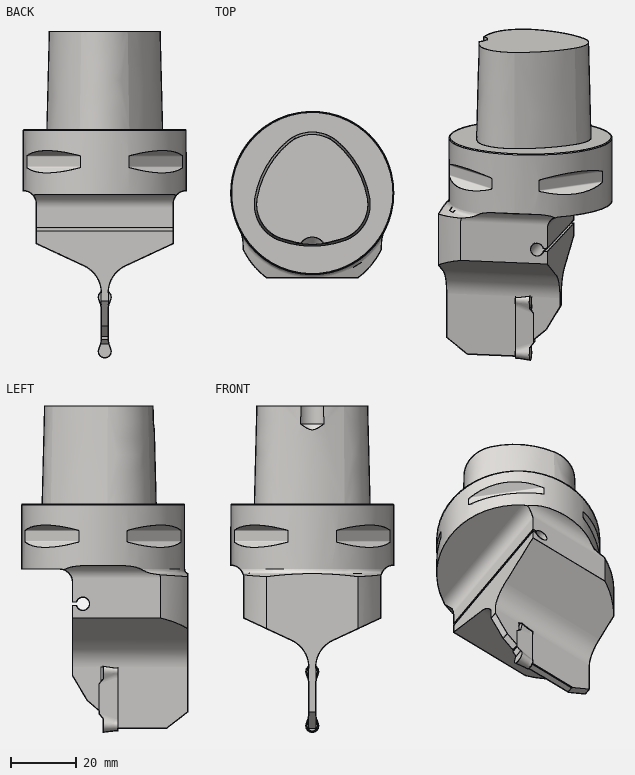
import cadquery as cq
import math


SWEEP = 120.0

SHANK_HEIGHT = 30.0
MEAN_RADIUS = 17.5
ECCENTRICITY = 1.2
LOBE_RADIUS = 11.8
SHANK_TAPER = math.degrees(math.atan(1 / 40))
LOBE_SPACING = 120
LOBE_DIRECTIONS = (90, 210, 330)

NOTCH_RADIUS = 4.2
NOTCH_Y = -17.7
NOTCH_FLOOR_Z = 24.5
NOTCH_CONE_HEIGHT = 3.4

FLANGE_RADIUS = 25.0
FLANGE_HEIGHT = 20.0
FLANGE_CHAMFER = 0.3
GROOVE_Z = -9.9
GROOVE_FLOOR_DISTANCE = 22.1
GROOVE_FLOOR_WIDTH = 3.5
GROOVE_WALL_ANGLE = 30.0
GROOVE_FILLET = 0.5
GROOVE_DIRECTIONS = (45, 135, 225, 315)

SHOULDER_FILLET = 1.4
SHOULDER_SLOPE = 15.0
SHOULDER_REACH = 32.0

BLOCK_HALF_WIDTH = 21.0
BLOCK_FRONT_Y = -26.0
BLOCK_BACK_Y = 9.4
BLOCK_ROUND_RADIUS = 23.5
BLOCK_ROUND_Y = -7.1
NECK_FILLET = 4.0
NECK_FILLET_Z = -22.8
RELIEF_HOLE_DIAMETER = 4.0
RELIEF_HOLE_Y = 6.2
RELIEF_HOLE_Z = -30.6
RELIEF_SLOT_WIDTH = 1.0

BLADE_HALF_THICKNESS = 1.1
BLADE_TOP_Z = -50.0
BLADE_ROOT_RADIUS = 9.0
BLADE_ROOT_SLOPE = 25.0
BLADE_BOTTOM_Z = -68.8
BLADE_BOTTOM_CHAMFER = 0.2
BLADE_BACK_START_Z = -52.6
BLADE_BACK_KNEE_Y = 4.9
BLADE_BACK_KNEE_Z = -60.2
BLADE_BACK_END_Z = -63.4
BLADE_FRONT_CHAMFER_Y = 6.6
BLADE_FRONT_CHAMFER_Z = 5.1
CHIP_GAP = 0.6

INSERT_TIP_Z = -70.0
INSERT_HALF_LENGTH = 10.3
INSERT_TIP_RADIUS = 2.0
INSERT_NECK_ANGLE = 20.0
INSERT_NECK_FILLET = 3.0
EDGE_MARGIN = 0.1
INSERT_SEAT_Y = -4.5
INSERT_RELIEF_DEPTH = 3.6
INSERT_RELIEF_ANGLE = 7.0
INSERT_BACK_Y = 1.2
INSERT_BACK_HALF_LENGTH = 4.6
INSERT_BACK_RAMP = 1.5
INSERT_CENTRE_Z = INSERT_TIP_Z + INSERT_HALF_LENGTH


def polar(distance, angle):
    """Point at a distance from the origin in a direction given in degrees."""
    return (distance * math.cos(math.radians(angle)), distance * math.sin(math.radians(angle)))


def shank_outline():
    """Three lobe arcs and three flatter arcs, each tangent to its neighbours."""
    apex = MEAN_RADIUS + ECCENTRICITY
    flat = MEAN_RADIUS - ECCENTRICITY
    lobe_offset = apex - LOBE_RADIUS
    rise = apex - flat
    flat_offset = rise * (2 * lobe_offset - rise) / (lobe_offset - 2 * rise)
    centre_x, centre_y = polar(flat_offset, LOBE_SPACING)
    half_span = math.degrees(math.atan2(centre_y, lobe_offset - centre_x))

    def lobe_point(direction, turn):
        centre_x, centre_y = polar(lobe_offset, direction)
        step_x, step_y = polar(LOBE_RADIUS, direction + turn)
        return (centre_x + step_x, centre_y + step_y)

    outline = cq.Workplane("XY").moveTo(*lobe_point(LOBE_DIRECTIONS[0], -half_span))
    for direction in LOBE_DIRECTIONS:
        next_start = lobe_point(direction + LOBE_SPACING, -half_span)
        outline = outline.threePointArc(polar(apex, direction), lobe_point(direction, half_span))
        outline = outline.threePointArc(polar(flat, direction + LOBE_SPACING / 2), next_start)
    return outline.close()


def make_shank():
    return shank_outline().extrude(SHANK_HEIGHT, taper=SHANK_TAPER).cut(notch())


def notch():
    """Cone-bottomed notch in the front of the shank, open at the top."""
    return (
        cq.Workplane("XZ", origin=(0, NOTCH_Y, 0))
        .moveTo(0, NOTCH_FLOOR_Z - NOTCH_CONE_HEIGHT)
        .lineTo(NOTCH_RADIUS, NOTCH_FLOOR_Z)
        .lineTo(NOTCH_RADIUS, SHANK_HEIGHT)
        .lineTo(0, SHANK_HEIGHT)
        .close()
        .revolve(360, (0, 0), (0, 1))
    )


def make_flange_and_shoulder():
    """Flange whose wall runs through a concave fillet into a wide sloping shoulder."""
    slope = math.radians(SHOULDER_SLOPE)
    mid = (math.pi / 2 - slope) / 2
    centre_r = FLANGE_RADIUS + SHOULDER_FILLET

    def fillet_point(turn):
        return (
            centre_r - SHOULDER_FILLET * math.cos(turn),
            -FLANGE_HEIGHT - SHOULDER_FILLET * math.sin(turn),
        )

    fillet_end = fillet_point(math.pi / 2 - slope)
    drop = (SHOULDER_REACH - fillet_end[0]) * math.tan(slope)
    profile = (
        cq.Workplane("XZ")
        .lineTo(FLANGE_RADIUS - FLANGE_CHAMFER, 0)
        .lineTo(FLANGE_RADIUS, -FLANGE_CHAMFER)
        .lineTo(FLANGE_RADIUS, -FLANGE_HEIGHT)
        .threePointArc(fillet_point(mid), fillet_end)
        .lineTo(SHOULDER_REACH, fillet_end[1] - drop)
        .lineTo(SHOULDER_REACH, BLADE_BOTTOM_Z)
        .lineTo(0, BLADE_BOTTOM_Z)
        .close()
    )
    return profile.revolve(360, (0, 0), (0, 1))


def plan_section():
    """Plan outline below the flange, straight-sided with a flatted round front; the flange is left whole."""
    flat_half = math.sqrt(BLOCK_ROUND_RADIUS**2 - (BLOCK_FRONT_Y - BLOCK_ROUND_Y) ** 2)
    half_turn = math.atan2(BLOCK_FRONT_Y - BLOCK_ROUND_Y, flat_half) / 2
    corner_x = BLOCK_ROUND_RADIUS * math.cos(half_turn)
    corner_y = BLOCK_ROUND_Y + BLOCK_ROUND_RADIUS * math.sin(half_turn)
    lower = (
        cq.Workplane("XY", origin=(0, 0, -FLANGE_HEIGHT))
        .moveTo(-BLOCK_ROUND_RADIUS, SHOULDER_REACH)
        .lineTo(-BLOCK_ROUND_RADIUS, BLOCK_ROUND_Y)
        .threePointArc((-corner_x, corner_y), (-flat_half, BLOCK_FRONT_Y))
        .lineTo(flat_half, BLOCK_FRONT_Y)
        .threePointArc((corner_x, corner_y), (BLOCK_ROUND_RADIUS, BLOCK_ROUND_Y))
        .lineTo(BLOCK_ROUND_RADIUS, SHOULDER_REACH)
        .close()
        .extrude(-SWEEP)
    )
    upper = cq.Workplane("XY").circle(SHOULDER_REACH).extrude(-FLANGE_HEIGHT)
    return lower.union(upper)


def front_section():
    """Symmetric outline across X: flared neck, block sides, sloping roots and thin blade."""
    slope = math.radians(BLADE_ROOT_SLOPE)
    neck_x = BLOCK_HALF_WIDTH + NECK_FILLET
    neck_diagonal = NECK_FILLET * math.sqrt(0.5)
    root_x = BLADE_HALF_THICKNESS + BLADE_ROOT_RADIUS

    def root_point(turn):
        return (
            root_x - BLADE_ROOT_RADIUS * math.cos(turn),
            BLADE_TOP_Z + BLADE_ROOT_RADIUS * math.sin(turn),
        )

    root_start = root_point(math.pi / 2 - slope)
    block_bottom_z = root_start[1] + (BLOCK_HALF_WIDTH - root_start[0]) * math.tan(slope)
    half = (
        cq.Workplane("XZ", origin=(0, SWEEP / 2, 0))
        .lineTo(SHOULDER_REACH, 0)
        .lineTo(SHOULDER_REACH, NECK_FILLET_Z + NECK_FILLET)
        .lineTo(neck_x, NECK_FILLET_Z + NECK_FILLET)
        .threePointArc(
            (neck_x - neck_diagonal, NECK_FILLET_Z + neck_diagonal),
            (BLOCK_HALF_WIDTH, NECK_FILLET_Z),
        )
        .lineTo(BLOCK_HALF_WIDTH, block_bottom_z)
        .lineTo(*root_start)
        .threePointArc(root_point(math.pi / 4 - slope / 2), (BLADE_HALF_THICKNESS, BLADE_TOP_Z))
        .lineTo(BLADE_HALF_THICKNESS, BLADE_BOTTOM_Z + BLADE_BOTTOM_CHAMFER)
        .lineTo(BLADE_HALF_THICKNESS - BLADE_BOTTOM_CHAMFER, BLADE_BOTTOM_Z)
        .lineTo(0, BLADE_BOTTOM_Z)
        .close()
        .extrude(SWEEP)
    )
    return half.union(half.mirror("YZ"))


def side_section():
    """Outline across Y: back neck fillet, block back, stepped blade back and chamfered blade front."""
    neck_y = BLOCK_BACK_Y + NECK_FILLET
    neck_z = -FLANGE_HEIGHT - NECK_FILLET
    neck_diagonal = NECK_FILLET * math.sqrt(0.5)
    return (
        cq.Workplane("YZ", origin=(-SWEEP / 2, 0, 0))
        .moveTo(BLOCK_FRONT_Y, 0)
        .lineTo(SHOULDER_REACH, 0)
        .lineTo(SHOULDER_REACH, -FLANGE_HEIGHT)
        .lineTo(neck_y, -FLANGE_HEIGHT)
        .threePointArc((neck_y - neck_diagonal, neck_z + neck_diagonal), (BLOCK_BACK_Y, neck_z))
        .lineTo(BLOCK_BACK_Y, BLADE_BACK_START_Z)
        .lineTo(BLADE_BACK_KNEE_Y, BLADE_BACK_KNEE_Z)
        .lineTo(INSERT_BACK_Y, BLADE_BACK_END_Z)
        .lineTo(INSERT_SEAT_Y, BLADE_BACK_END_Z)
        .lineTo(INSERT_SEAT_Y, BLADE_BOTTOM_Z)
        .lineTo(BLOCK_FRONT_Y + BLADE_FRONT_CHAMFER_Y, BLADE_BOTTOM_Z)
        .lineTo(BLOCK_FRONT_Y, BLADE_BOTTOM_Z + BLADE_FRONT_CHAMFER_Z)
        .close()
        .extrude(SWEEP)
    )


def gripper_groove(direction):
    """Trapezoidal groove with a flat floor square to one diagonal of the flange."""
    depth = FLANGE_RADIUS - GROOVE_FLOOR_DISTANCE
    floor_half = GROOVE_FLOOR_WIDTH / 2
    mouth_half = floor_half + depth * math.tan(math.radians(GROOVE_WALL_ANGLE))
    return (
        cq.Workplane("XZ", origin=(0, FLANGE_RADIUS, GROOVE_Z))
        .moveTo(GROOVE_FLOOR_DISTANCE, -floor_half)
        .lineTo(FLANGE_RADIUS, -mouth_half)
        .lineTo(FLANGE_RADIUS, mouth_half)
        .lineTo(GROOVE_FLOOR_DISTANCE, floor_half)
        .close()
        .extrude(2 * FLANGE_RADIUS)
        .edges("|Y and <X")
        .fillet(GROOVE_FILLET)
        .rotate((0, 0, 0), (0, 0, 1), direction)
    )


def relief_hole():
    """Cross hole through the block, slit open to the back."""
    hole = (
        cq.Workplane("YZ", origin=(-FLANGE_RADIUS, 0, 0))
        .center(RELIEF_HOLE_Y, RELIEF_HOLE_Z)
        .circle(RELIEF_HOLE_DIAMETER / 2)
        .extrude(2 * FLANGE_RADIUS)
    )
    slot_length = BLOCK_BACK_Y - RELIEF_HOLE_Y
    slot = cq.Workplane("XY").box(2 * FLANGE_RADIUS, slot_length, RELIEF_SLOT_WIDTH)
    return hole.union(slot.translate((0, RELIEF_HOLE_Y + slot_length / 2, RELIEF_HOLE_Z)))


def chip_gap():
    """Gap in the blade beside the rake face of the upper insert tip."""
    height = BLADE_TOP_Z - INSERT_CENTRE_Z
    gap = cq.Workplane("XY").box(2 * INSERT_TIP_RADIUS, CHIP_GAP, height)
    return gap.translate((0, CHIP_GAP / 2, INSERT_CENTRE_Z + height / 2))


def make_holder(insert):
    holder = make_flange_and_shoulder()
    holder = holder.intersect(plan_section()).intersect(front_section()).intersect(side_section())
    for direction in GROOVE_DIRECTIONS:
        holder = holder.cut(gripper_groove(direction))
    holder = holder.cut(relief_hole()).cut(chip_gap()).cut(insert)
    return holder.union(make_shank())


def insert_end(side):
    """Teardrop cutting end that narrows with depth, on the upper (1) or lower (-1) side."""
    angle = math.radians(INSERT_NECK_ANGLE)
    relief = math.tan(math.radians(INSERT_RELIEF_ANGLE))
    radius = INSERT_TIP_RADIUS + INSERT_BACK_Y * relief
    centre_z = INSERT_HALF_LENGTH - INSERT_TIP_RADIUS
    side_x = radius * math.cos(angle)
    side_z = centre_z - radius * math.sin(angle)
    point_z = centre_z - radius / math.sin(angle)
    tapered = (
        cq.Workplane("XZ", origin=(0, INSERT_BACK_Y, INSERT_CENTRE_Z))
        .moveTo(0, side * point_z)
        .lineTo(side_x, side * side_z)
        .threePointArc((0, side * (centre_z + radius)), (-side_x, side * side_z))
        .close()
        .extrude(INSERT_BACK_Y + INSERT_RELIEF_DEPTH, taper=INSERT_RELIEF_ANGLE)
    )
    foot_depth = -INSERT_SEAT_Y - INSERT_RELIEF_DEPTH
    foot = tapered.faces("<Y").wires().toPending().workplane().extrude(foot_depth, combine=False)
    return tapered.union(foot)


def insert_core():
    """Flat core as thick as the blade."""
    core_half = INSERT_HALF_LENGTH - INSERT_TIP_RADIUS
    core = cq.Workplane("XY").box(2 * BLADE_HALF_THICKNESS, INSERT_BACK_Y - INSERT_SEAT_Y, 2 * core_half)
    return core.translate((0, (INSERT_BACK_Y + INSERT_SEAT_Y) / 2, INSERT_CENTRE_Z))


def insert_section():
    """Outline across Y: rake faces at Y = 0 at both ends, ramps up to the raised middle."""
    ramp_end = INSERT_BACK_HALF_LENGTH + INSERT_BACK_RAMP
    reach = INSERT_HALF_LENGTH + INSERT_TIP_RADIUS
    return (
        cq.Workplane("YZ", origin=(-SWEEP / 2, 0, INSERT_CENTRE_Z))
        .moveTo(INSERT_SEAT_Y, -reach)
        .lineTo(0, -reach)
        .lineTo(0, -ramp_end)
        .lineTo(INSERT_BACK_Y, -INSERT_BACK_HALF_LENGTH)
        .lineTo(INSERT_BACK_Y, INSERT_BACK_HALF_LENGTH)
        .lineTo(0, ramp_end)
        .lineTo(0, reach)
        .lineTo(INSERT_SEAT_Y, reach)
        .close()
        .extrude(SWEEP)
    )


def neck_edges(side):
    """Selector of the edges where one cutting end meets the sides of the core."""
    reach_x = BLADE_HALF_THICKNESS + EDGE_MARGIN
    inner_z = INSERT_CENTRE_Z + side * INSERT_BACK_HALF_LENGTH
    outer_z = INSERT_CENTRE_Z + side * (INSERT_HALF_LENGTH - INSERT_TIP_RADIUS)
    return cq.selectors.BoxSelector(
        (-reach_x, INSERT_SEAT_Y + EDGE_MARGIN, inner_z),
        (reach_x, INSERT_BACK_Y - EDGE_MARGIN, outer_z),
    )


def make_insert():
    """Double-ended insert whose round ends blend into a thin core."""
    insert = insert_core().union(insert_end(1)).union(insert_end(-1))
    for side in (1, -1):
        insert = insert.edges(neck_edges(side)).fillet(INSERT_NECK_FILLET)
    return insert.intersect(insert_section())


insert = make_insert()
holder = make_holder(insert)
result = cq.Compound.makeCompound([holder.val(), insert.val()])